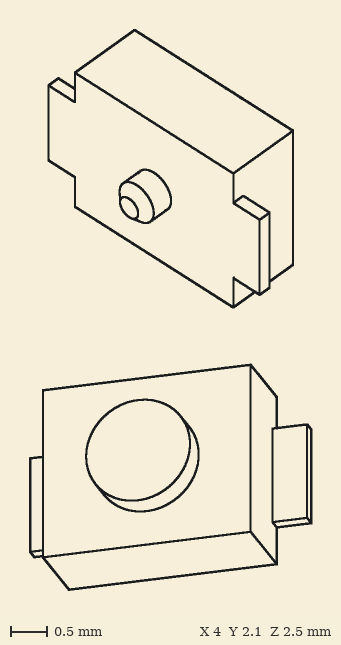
import cadquery as cq

overall_width = 4.0
body_width = 3.0
body_depth = 1.2
body_height = 2.5

tab_thickness = 0.2
tab_height = 1.4

button_diameter = 1.5
button_length = 0.4

pin_diameter = 0.65
pin_length = 0.5
pin_chamfer = 0.15


def front_block(width, depth, height):
    """Block centred in X and Z, running from Y = 0 towards +Y."""
    return cq.Workplane("XY").box(width, depth, height, centered=(True, False, True))


body = front_block(body_width, body_depth, body_height)

tabs = front_block(overall_width, tab_thickness, tab_height)

button = (
    cq.Workplane("XZ", origin=(0, body_depth, 0))
    .circle(button_diameter / 2)
    .extrude(-button_length)
)

pin = (
    cq.Workplane("XZ")
    .circle(pin_diameter / 2)
    .extrude(pin_length)
    .faces("<Y")
    .chamfer(pin_chamfer)
)

result = body.union(tabs).union(button).union(pin)